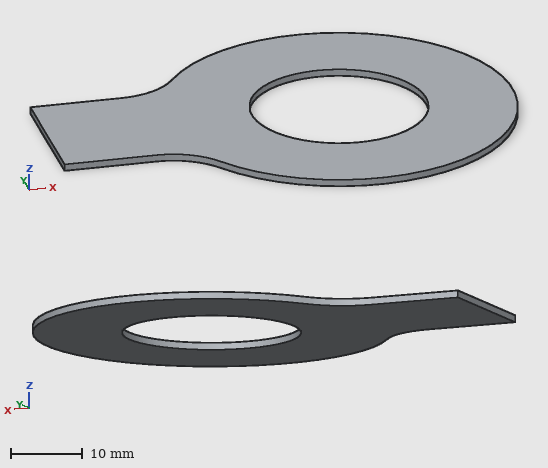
import cadquery as cq
import math

overall_length = 66.9
disc_diameter = 50.0
hole_diameter = 25.0
tab_width = 20.0
neck_radius = 10.0
thickness = 1.0

disc_radius = disc_diameter / 2
tab_half_width = tab_width / 2
tab_end_x = disc_radius - overall_length

neck_center_y = tab_half_width + neck_radius
neck_center_x = -math.sqrt((disc_radius + neck_radius) ** 2 - neck_center_y ** 2)
rim_share = disc_radius / (disc_radius + neck_radius)
rim_x = neck_center_x * rim_share
rim_y = neck_center_y * rim_share

neck_start_angle = -math.pi / 2
neck_end_angle = math.atan2(-neck_center_y, -neck_center_x)
neck_mid_angle = (neck_start_angle + neck_end_angle) / 2
neck_mid_x = neck_center_x + neck_radius * math.cos(neck_mid_angle)
neck_mid_y = neck_center_y + neck_radius * math.sin(neck_mid_angle)

washer = (
    cq.Workplane("XY")
    .moveTo(tab_end_x, -tab_half_width)
    .lineTo(neck_center_x, -tab_half_width)
    .threePointArc((neck_mid_x, -neck_mid_y), (rim_x, -rim_y))
    .threePointArc((disc_radius, 0), (rim_x, rim_y))
    .threePointArc((neck_mid_x, neck_mid_y), (neck_center_x, tab_half_width))
    .lineTo(tab_end_x, tab_half_width)
    .close()
    .extrude(thickness)
)

bore = cq.Workplane("XY").circle(hole_diameter / 2).extrude(thickness)

result = washer.cut(bore)